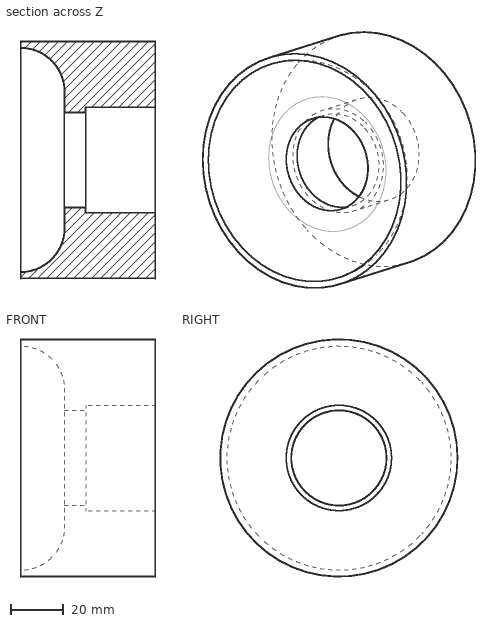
import cadquery as cq
import math

outer_diameter = 90.0
width = 51.0
bore_diameter = 36.0

seat_diameter = 40.0
lip_thickness = 8.0

mouth_diameter = 85.0
floor_diameter = 51.75
recess_depth = (mouth_diameter - floor_diameter) / 2

outer_radius = outer_diameter / 2
bore_radius = bore_diameter / 2
seat_radius = seat_diameter / 2
mouth_radius = mouth_diameter / 2
floor_radius = floor_diameter / 2
left_face = -width / 2
right_face = width / 2
recess_floor = left_face + recess_depth
seat_floor = recess_floor + lip_thickness
arc_middle = recess_depth * math.sqrt(0.5)

half_section = (
    cq.Workplane("XY")
    .moveTo(recess_floor, bore_radius)
    .lineTo(recess_floor, floor_radius)
    .threePointArc(
        (left_face + arc_middle, floor_radius + arc_middle),
        (left_face, mouth_radius),
    )
    .lineTo(left_face, outer_radius)
    .lineTo(right_face, outer_radius)
    .lineTo(right_face, seat_radius)
    .lineTo(seat_floor, seat_radius)
    .lineTo(seat_floor, bore_radius)
    .close()
)

result = half_section.revolve(360, (0, 0, 0), (1, 0, 0))